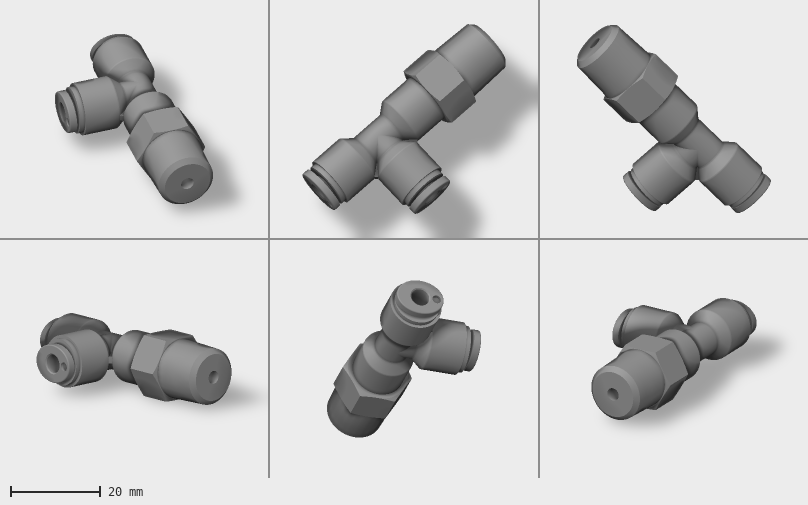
import cadquery as cq
import math


TUBE_BORE = 4.2

ARM_LENGTH = 14.5
ARM_DIAMETER = 11.9
WAIST_DIAMETER = 7.95
TAPER_START = 4.0
TAPER_END = 6.5
TAPER_FILLET = 0.5
FLOW_BORE = 3.2
SOCKET_BOTTOM = TAPER_END
WEB_THICKNESS = 1.4

COLLAR_DIAMETER = 10.6
COLLAR_LENGTH = 1.2
SLEEVE_NECK_DIAMETER = 5.5
SLEEVE_NECK_LENGTH = 0.7
TUBE_BORE_CHAMFER = 0.25
FLANGE_THICKNESS = 1.65
FLANGE_LENGTH = 10.9
FLANGE_WIDTH = 8.65
FLANGE_FILLET = 0.25
DIMPLE_DIAMETER = 2.0
DIMPLE_DEPTH = 0.75
DIMPLE_OFFSET = 3.75

HEX_ACROSS_FLATS = 14.0
HEX_LENGTH = 8.1
HEX_CHAMFER = 0.4
THREAD_LENGTH = 10.95
THREAD_ROOT_DIAMETER = 13.5
THREAD_TIP_DIAMETER = 12.85
THREAD_CHAMFER = 1.1
NIPPLE_BORE = 3.0


def cylinder(diameter, start, length):
    """Cylinder along +X from the given X."""
    return cq.Workplane("YZ", origin=(start, 0, 0)).circle(diameter / 2).extrude(length)


def revolved(profile):
    """Solid of revolution about X from (x, radius) points."""
    return cq.Workplane("XY").polyline(profile).close().revolve(360, (0, 0, 0), (1, 0, 0))


def on_left_port(body):
    """Turn a body built along +X to point along -X."""
    return body.rotate((0, 0, 0), (0, 0, 1), 180)


def on_branch_port(body):
    """Turn a body built along +X to point along -Y."""
    return body.rotate((0, 0, 0), (0, 0, 1), -90)


TUBE_PORTS = (on_left_port, on_branch_port)


def make_arm():
    """Solid tee arm along +X with its taper edges rounded."""
    arm = revolved([
        (0, 0),
        (0, WAIST_DIAMETER / 2),
        (TAPER_START, WAIST_DIAMETER / 2),
        (TAPER_END, ARM_DIAMETER / 2),
        (ARM_LENGTH, ARM_DIAMETER / 2),
        (ARM_LENGTH, 0),
    ])
    taper_edges = arm.faces("%CONE").edges("%CIRCLE")
    return taper_edges.fillet(TAPER_FILLET)


def make_webs():
    """Flat plate that fills the two corners between the run and the branch."""
    arm_radius = ARM_DIAMETER / 2
    return (
        cq.Workplane("XY")
        .polyline([
            (-TAPER_END, 0),
            (-TAPER_END, -arm_radius),
            (-arm_radius, -TAPER_END),
            (arm_radius, -TAPER_END),
            (TAPER_END, -arm_radius),
            (TAPER_END, 0),
        ])
        .close()
        .extrude(WEB_THICKNESS / 2, both=True)
    )


def make_tee():
    arm = make_arm()
    tee = arm.union(on_left_port(arm)).union(on_branch_port(arm)).union(make_webs())
    run_bore = cylinder(FLOW_BORE, -ARM_LENGTH, 2 * ARM_LENGTH)
    branch_bore = on_branch_port(cylinder(FLOW_BORE, 0, ARM_LENGTH))
    tee = tee.cut(run_bore).cut(branch_bore)
    socket = cylinder(TUBE_BORE, SOCKET_BOTTOM, ARM_LENGTH - SOCKET_BOTTOM)
    for place in TUBE_PORTS:
        tee = tee.cut(place(socket))
    return tee


def make_collar():
    """Flat ring on the end face of an arm along +X."""
    collar = cylinder(COLLAR_DIAMETER, ARM_LENGTH, COLLAR_LENGTH)
    return collar.cut(cylinder(TUBE_BORE, ARM_LENGTH, COLLAR_LENGTH))


def make_flange(start):
    """Oval flange with its outer rim rounded."""
    flange = (
        cq.Workplane("YZ", origin=(start, 0, 0))
        .ellipse(FLANGE_LENGTH / 2, FLANGE_WIDTH / 2)
        .extrude(FLANGE_THICKNESS)
    )
    return flange.faces(">X").edges().fillet(FLANGE_FILLET)


def make_sleeve():
    """Release sleeve standing on the collar of an arm along +X."""
    neck_start = ARM_LENGTH + COLLAR_LENGTH
    flange_start = neck_start + SLEEVE_NECK_LENGTH
    outer_face = flange_start + FLANGE_THICKNESS

    neck = cylinder(SLEEVE_NECK_DIAMETER, neck_start, SLEEVE_NECK_LENGTH)
    sleeve = make_flange(flange_start).union(neck)

    bore = cylinder(TUBE_BORE, neck_start, outer_face - neck_start)
    mouth = revolved([
        (outer_face - TUBE_BORE_CHAMFER, 0),
        (outer_face - TUBE_BORE_CHAMFER, TUBE_BORE / 2),
        (outer_face, TUBE_BORE / 2 + TUBE_BORE_CHAMFER),
        (outer_face, 0),
    ])
    dimple = cylinder(DIMPLE_DIAMETER, outer_face - DIMPLE_DEPTH, DIMPLE_DEPTH)
    dimple = dimple.translate((0, DIMPLE_OFFSET, 0))
    return sleeve.cut(bore).cut(mouth).cut(dimple)


def make_nipple():
    """Hexagon and tapered thread on the +X end of the tee."""
    hex_start = ARM_LENGTH
    hex_end = hex_start + HEX_LENGTH
    thread_end = hex_end + THREAD_LENGTH
    flat_radius = HEX_ACROSS_FLATS / 2
    corner_radius = flat_radius / math.cos(math.pi / 6)

    hexagon = (
        cq.Workplane("YZ", origin=(hex_start, 0, 0))
        .polygon(6, 2 * corner_radius)
        .extrude(HEX_LENGTH)
    )
    corner_cones = revolved([
        (hex_start, 0),
        (hex_start, flat_radius),
        (hex_start + HEX_CHAMFER, corner_radius),
        (hex_end - HEX_CHAMFER, corner_radius),
        (hex_end, flat_radius),
        (hex_end, 0),
    ])
    thread = revolved([
        (hex_end, 0),
        (hex_end, THREAD_ROOT_DIAMETER / 2),
        (thread_end - THREAD_CHAMFER, THREAD_TIP_DIAMETER / 2),
        (thread_end, THREAD_TIP_DIAMETER / 2 - THREAD_CHAMFER),
        (thread_end, 0),
    ])
    bore = cylinder(NIPPLE_BORE, hex_start, HEX_LENGTH + THREAD_LENGTH)
    return hexagon.intersect(corner_cones).union(thread).cut(bore)


tee = make_tee()
collars = [place(make_collar()) for place in TUBE_PORTS]
sleeves = [place(make_sleeve()) for place in TUBE_PORTS]
nipple = make_nipple()

result = cq.Compound.makeCompound([
    tee.val(),
    *[collar.val() for collar in collars],
    *[sleeve.val() for sleeve in sleeves],
    nipple.val(),
])